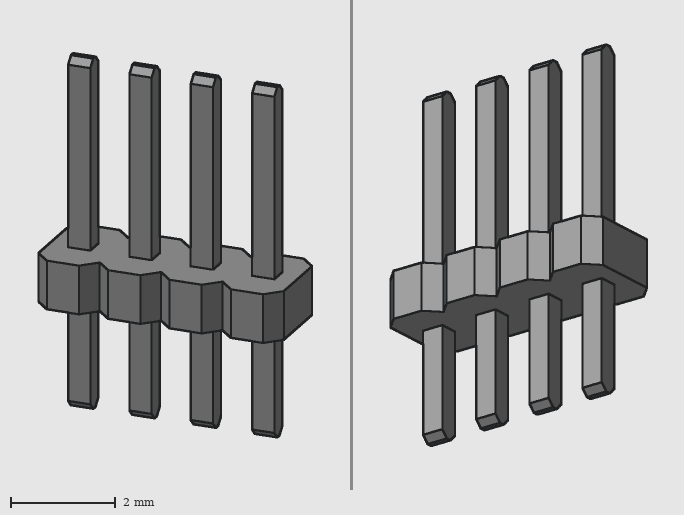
import cadquery as cq


pin_count = 4
body_length = 5.08
body_depth = 2.0
body_height = 1.0
corner_cut = 0.3

pin_length = 7.2
pin_width = 0.46
pin_depth = 0.4
tip_bevel = 0.145
pin_below_body = 2.305

pitch = body_length / pin_count
pin_bottom = -pin_length / 2
body_bottom = pin_bottom + pin_below_body
pin_places = [(i - (pin_count - 1) / 2) * pitch for i in range(pin_count)]


def make_cell(x):
    """Octagonal body cell around the pin at x; neighbours meet in V notches."""
    return (
        cq.Workplane("XY")
        .box(pitch, body_depth, body_height, centered=(True, True, False))
        .edges("|Z")
        .chamfer(corner_cut)
        .translate((x, 0, body_bottom))
    )


def make_pin(x):
    """Rectangular pin at x, with both ends bevelled to a narrow flat."""
    return (
        cq.Workplane("XY")
        .box(pin_width, pin_depth, pin_length)
        .faces("<Z or >Z")
        .edges("|X")
        .chamfer(tip_bevel)
        .translate((x, 0, 0))
    )


result = cq.Workplane("XY")
for pin_x in pin_places:
    result = result.union(make_cell(pin_x)).union(make_pin(pin_x))
result = result.clean()